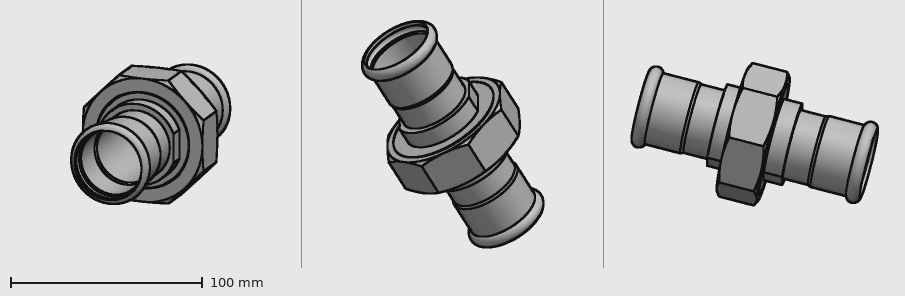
import cadquery as cq
import math

half_length = 61.5
bore_radius = 34.0 / 2
neck_radius = 37.0 / 2
socket_radius = 38.4 / 2
socket_bore_radius = 35.5 / 2

shoulder_start = 33.6
shoulder_end = 35.2

bead_radius = 43.6 / 2
bead_width = 7.3
groove_radius = 40.0 / 2
lip_radius = 37.0 / 2
mouth_radius = 37.5 / 2
mouth_taper_depth = 1.7
lip_width = 0.5
groove_width = 4.0
entry_length = 0.9

collar_radius = 44.1 / 2
collar_half_length = 20.2
collar_flat_distance = 41.1

nut_across_flats = 67.0
nut_front = -11.7
nut_rear = 10.0
chamfer_angle = 30.0
rear_disc_radius = 59.6 / 2
rear_disc_height = 0.4
gap_inner_radius = 51.5 / 2
gap_outer_radius = 52.2 / 2
gap_depth = 3.7


def ring(outer_radius, inner_radius, y_start, y_end):
    """Ring about the Y axis; an inner radius of zero gives a solid disc."""
    sketch = cq.Workplane("XZ", origin=(0, y_start, 0)).circle(outer_radius)
    if inner_radius > 0:
        sketch = sketch.circle(inner_radius)
    return sketch.extrude(y_start - y_end)


def revolve_about_y(profile):
    return profile.close().revolve(360, (0, 0, 0), (0, 1, 0))


def socket_end():
    """Outer body of the +Y half: neck, shoulder, socket and bead."""
    bead_start = half_length - bead_width
    bead_middle = half_length - bead_width / 2
    profile = (
        cq.Workplane("XY")
        .lineTo(neck_radius, 0)
        .lineTo(neck_radius, shoulder_start)
        .lineTo(socket_radius, shoulder_end)
        .lineTo(socket_radius, bead_start)
        .threePointArc((bead_radius, bead_middle), (mouth_radius, half_length))
        .lineTo(0, half_length)
    )
    return revolve_about_y(profile)


def socket_bore():
    """Space inside the +Y half: pipe bore, socket, seal groove and mouth."""
    lip_end = half_length - mouth_taper_depth
    groove_end = lip_end - lip_width
    groove_start = groove_end - groove_width
    groove_middle = (groove_start + groove_end) / 2
    profile = (
        cq.Workplane("XY")
        .lineTo(bore_radius, 0)
        .lineTo(bore_radius, shoulder_start)
        .lineTo(socket_bore_radius, shoulder_end)
        .lineTo(socket_bore_radius, groove_start - entry_length)
        .lineTo(lip_radius, groove_start)
        .threePointArc((groove_radius, groove_middle), (lip_radius, groove_end))
        .lineTo(lip_radius, lip_end)
        .lineTo(mouth_radius, half_length)
        .lineTo(0, half_length)
    )
    return revolve_about_y(profile)


def both_ends(half):
    return half.union(half.mirror("XZ"))


def wrench_collar():
    """Round collar with two flats facing -X and +X."""
    cylinder = ring(collar_radius, 0, -collar_half_length, collar_half_length)
    flats = cq.Workplane("XY").box(collar_flat_distance, 2 * collar_half_length, 2 * collar_radius)
    return cylinder.intersect(flats)


def octagonal_nut():
    """Octagon with conical corner chamfers, a rear disc and a front gap."""
    flat_radius = nut_across_flats / 2
    corner_radius = flat_radius / math.cos(math.pi / 8)
    chamfer_height = (corner_radius - flat_radius) * math.tan(math.radians(chamfer_angle))
    octagon = (
        cq.Workplane("XZ", origin=(0, nut_front, 0))
        .transformed(rotate=(0, 0, 22.5))
        .polygon(8, 2 * corner_radius)
        .extrude(nut_front - nut_rear)
    )
    chamfer_envelope = revolve_about_y(
        cq.Workplane("XY")
        .moveTo(0, nut_front)
        .lineTo(flat_radius, nut_front)
        .lineTo(corner_radius, nut_front + chamfer_height)
        .lineTo(corner_radius, nut_rear - chamfer_height)
        .lineTo(flat_radius, nut_rear)
        .lineTo(0, nut_rear)
    )
    rear_disc = ring(rear_disc_radius, 0, nut_rear, nut_rear + rear_disc_height)
    gap = ring(gap_outer_radius, gap_inner_radius, nut_front, nut_front + gap_depth)
    return octagon.intersect(chamfer_envelope).union(rear_disc).cut(gap)


body = both_ends(socket_end()).union(wrench_collar()).union(octagonal_nut())
result = body.cut(both_ends(socket_bore()))